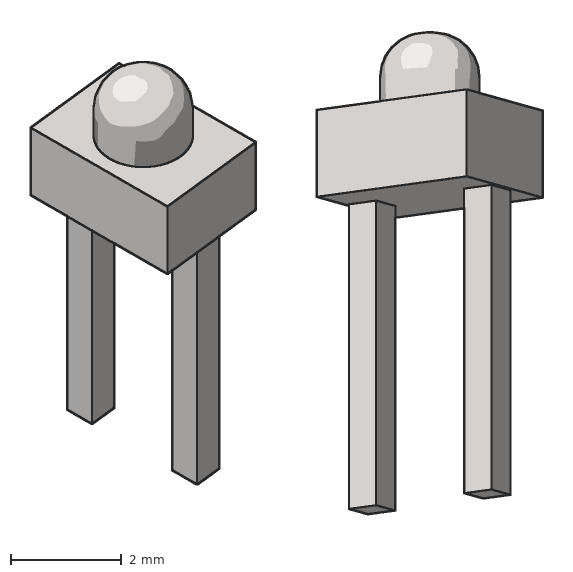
import cadquery as cq

total_height = 8.6
body_length = 3.3
body_width = 2.4
body_height = 1.6

lens_diameter = 1.8
lens_height = 1.4
dome_radius = 0.8

lead_side = 0.6
lead_spacing = 2.54
lead_length = total_height - body_height - lens_height


def make_body():
    """Block with its underside on Z = 0."""
    return cq.Workplane("XY").box(body_length, body_width, body_height, centered=(True, True, False))


def make_lens():
    """Rounded lens standing on top of the body."""
    return (
        cq.Workplane("XY")
        .workplane(offset=body_height)
        .circle(lens_diameter / 2)
        .extrude(lens_height)
        .faces(">Z")
        .edges()
        .fillet(dome_radius)
    )


def make_leads():
    """Pair of square leads hanging from the underside of the body."""
    return (
        cq.Workplane("XY")
        .rarray(lead_spacing, 0.09, 2, 1)
        .rect(lead_side, lead_side)
        .extrude(-lead_length)
    )


result = make_body().union(make_lens()).union(make_leads())